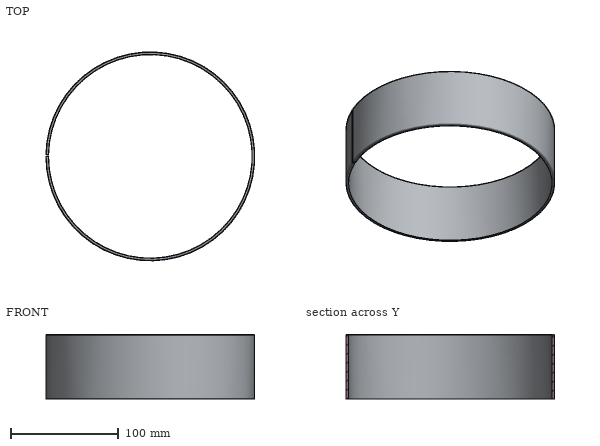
import cadquery as cq

outer_diameter = 195.0
wall_thickness = 2.5
band_height = 60.0
rim_round = 0.5

slit_angle = 0.9

mid_wall_radius = (outer_diameter - wall_thickness) / 2


def wall_section():
    """Wall cross-section at the -X side of the band, its outer corners rounded."""
    return (
        cq.Sketch()
        .rect(wall_thickness, band_height)
        .vertices("<X")
        .fillet(rim_round)
        .moved(cq.Location(cq.Vector(-mid_wall_radius, band_height / 2, 0)))
    )


result = (
    cq.Workplane("XZ")
    .placeSketch(wall_section())
    .revolve(360 - slit_angle, (0, 0, 0), (0, 1, 0))
)